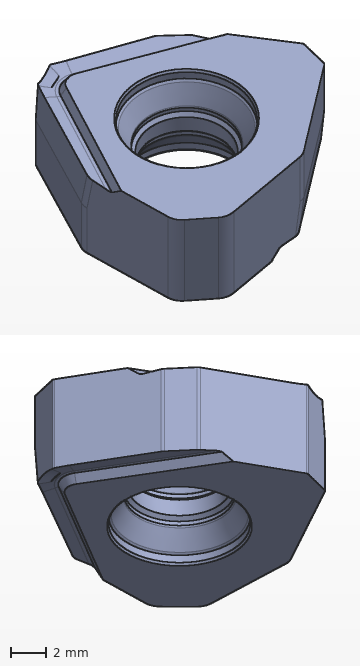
import cadquery as cq
import math

HEIGHT = 6.3
AXIS_ANGLE = -16.65

HEEL = (-7.31, -1.02)
SIDE_CORNER = (-5.52, -7.22)
NOSE = (-3.75, -8.24)
FLANK_END = (3.63, -6.27)
TIP = (8.35, -1.5)
CORNER_RADII = (
    (HEEL, 0.64),
    (SIDE_CORNER, 0.2),
    (NOSE, 0.2),
    (FLANK_END, 1.04),
    (TIP, 1.28),
)
CORNER_REACH = 0.4

RELIEF_START = 3.5
RELIEF_ANGLE = 5.0

GROOVE_CORNER = (-4.1, -6.74)
GROOVE_SIDE_ANGLE = 105.2
GROOVE_FLANK_ANGLE = 14.2
GROOVE_MIDDLE_ANGLE = (GROOVE_SIDE_ANGLE + GROOVE_FLANK_ANGLE) / 2
GROOVE_HALF_ANGLE = math.radians(GROOVE_SIDE_ANGLE - GROOVE_FLANK_ANGLE) / 2
GROOVE_CORNER_RADIUS = 0.88
GROOVE_ARM = 12.8
GROOVE_REACH = 4.0
WALL_WIDTH = 0.35
WALL_DEPTH = 0.53
VALLEY_WIDTH = 0.24
VALLEY_SAG = 0.03
LAND_ANGLE = 13.0

HOLLOW_RADIUS = 2.4
HOLLOW_ANGLE = 6.0
HOLLOW_LENGTH = 2.56

RIM_RADIUS = 4.11
SEAT_RADIUS = 4.02
RIM_DEPTH = 0.16
SEAT_DEPTH = 0.65
CONE_TOP_RADIUS = 3.89
CONE_TOP_DEPTH = 0.78
CONE_END_RADIUS = 3.18
CONE_END_DEPTH = 1.98
LIP_RADIUS = 3.14
LIP_TOP_DEPTH = 2.1
LIP_END_DEPTH = 2.37
BORE_RADIUS = 2.91
BORE_DEPTH = 2.62

OVERCUT = 0.8


def mirrored(point):
    return (point[0], -point[1])


def turned_over(tool):
    """Half a turn about the symmetry axis, which swaps the top and bottom faces."""
    middle = HEIGHT / 2
    return tool.rotate((0, 0, middle), (1, 0, middle), 180)


def step_from(point, angle, length):
    direction = math.radians(angle)
    return (point[0] + length * math.cos(direction), point[1] + length * math.sin(direction))


def blank():
    lower = [HEEL, SIDE_CORNER, NOSE, FLANK_END, TIP]
    upper = [mirrored(point) for point in reversed(lower)]
    return cq.Workplane("XY").polyline(lower + upper).close().extrude(HEIGHT)


def flank_relief():
    """Wedge that leans the upper flank inwards from RELIEF_START."""
    back = (NOSE[0] - FLANK_END[0], NOSE[1] - FLANK_END[1], 0)
    length = math.hypot(back[0], back[1])
    rise = HEIGHT + OVERCUT - RELIEF_START
    lean = rise * math.tan(math.radians(RELIEF_ANGLE))
    outward = (-back[1], back[0], 0)
    plane = cq.Plane(origin=(NOSE[0], NOSE[1], RELIEF_START), xDir=outward, normal=back)
    section = [(0, 0), (-lean, rise), (OVERCUT, rise), (OVERCUT, 0)]
    return cq.Workplane(plane).workplane(offset=length / 2).polyline(section).close().extrude(-2 * length)


def round_corners(body):
    """Fillet the upright edges, including those that lean with the flank."""
    for corner, radius in CORNER_RADII:
        for x, y in (corner, mirrored(corner)):
            column = cq.selectors.BoxSelector(
                (x - CORNER_REACH, y - CORNER_REACH, 0),
                (x + CORNER_REACH, y + CORNER_REACH, HEIGHT),
            )
            body = body.edges(column).edges("not #Z").fillet(radius)
    return body


def groove_apex():
    """Middle of the arc that rounds the top edge of the groove wall at the nose."""
    inset = GROOVE_CORNER_RADIUS / math.sin(GROOVE_HALF_ANGLE) - GROOVE_CORNER_RADIUS
    return step_from(GROOVE_CORNER, GROOVE_MIDDLE_ANGLE, inset)


def chip_groove():
    """Stepped groove along the side and flank edges, swept round the nose."""
    tangent = GROOVE_CORNER_RADIUS / math.tan(GROOVE_HALF_ANGLE)
    start = step_from(GROOVE_CORNER, GROOVE_SIDE_ANGLE, GROOVE_ARM)
    path = (
        cq.Workplane("XY", origin=(0, 0, HEIGHT))
        .moveTo(*start)
        .lineTo(*step_from(GROOVE_CORNER, GROOVE_SIDE_ANGLE, tangent))
        .threePointArc(
            groove_apex(),
            step_from(GROOVE_CORNER, GROOVE_FLANK_ANGLE, tangent),
        )
        .lineTo(*step_from(GROOVE_CORNER, GROOVE_FLANK_ANGLE, GROOVE_ARM))
    )

    outward = step_from((0, 0), GROOVE_SIDE_ANGLE + 90, 1) + (0,)
    backward = step_from((0, 0), GROOVE_SIDE_ANGLE, 1) + (0,)
    plane = cq.Plane(origin=start + (HEIGHT,), xDir=outward, normal=backward)
    land_start = WALL_WIDTH + VALLEY_WIDTH
    land_rise = (GROOVE_REACH - land_start) * math.tan(math.radians(LAND_ANGLE))
    section = (
        cq.Workplane(plane)
        .lineTo(WALL_WIDTH, -WALL_DEPTH)
        .threePointArc((WALL_WIDTH + VALLEY_WIDTH / 2, -WALL_DEPTH - VALLEY_SAG), (land_start, -WALL_DEPTH))
        .lineTo(GROOVE_REACH, -WALL_DEPTH + land_rise)
        .lineTo(GROOVE_REACH, OVERCUT)
        .lineTo(0, OVERCUT)
        .close()
    )
    return section.sweep(path)


def nose_hollow():
    """Cylinder rising outwards along the nose bisector, starting in the middle of the valley."""
    start = step_from(groove_apex(), GROOVE_MIDDLE_ANGLE, -WALL_WIDTH - VALLEY_WIDTH / 2)
    bottom = HEIGHT - WALL_DEPTH - VALLEY_SAG
    tilt = math.radians(HOLLOW_ANGLE)
    outward = step_from((0, 0), GROOVE_MIDDLE_ANGLE, -math.cos(tilt))
    plane = cq.Plane(
        origin=start + (bottom + HOLLOW_RADIUS / math.cos(tilt),),
        xDir=(outward[1], -outward[0], 0),
        normal=outward + (math.sin(tilt),),
    )
    return cq.Workplane(plane).circle(HOLLOW_RADIUS).extrude(HOLLOW_LENGTH)


def hole():
    def at(radius, depth):
        return (radius, HEIGHT - depth)

    half = (
        cq.Workplane("XZ")
        .moveTo(0, HEIGHT / 2)
        .lineTo(BORE_RADIUS, HEIGHT / 2)
        .lineTo(*at(BORE_RADIUS, BORE_DEPTH))
        .lineTo(*at(LIP_RADIUS, LIP_END_DEPTH))
        .lineTo(*at(LIP_RADIUS, LIP_TOP_DEPTH))
        .lineTo(*at(CONE_END_RADIUS, CONE_END_DEPTH))
        .lineTo(*at(CONE_TOP_RADIUS, CONE_TOP_DEPTH))
        .lineTo(*at(SEAT_RADIUS, SEAT_DEPTH))
        .lineTo(*at(SEAT_RADIUS, RIM_DEPTH))
        .lineTo(*at(RIM_RADIUS, 0))
        .lineTo(0, HEIGHT)
        .close()
        .revolve(360, (0, 0, 0), (0, 1, 0))
    )
    return half.union(turned_over(half))


relief = flank_relief()
groove = chip_groove()
hollow = nose_hollow()
body = blank().cut(relief).cut(turned_over(relief))
body = round_corners(body)
body = body.cut(groove).cut(turned_over(groove))
body = body.cut(hollow).cut(turned_over(hollow))
body = body.cut(hole())
result = body.rotate((0, 0, 0), (0, 0, 1), AXIS_ANGLE)